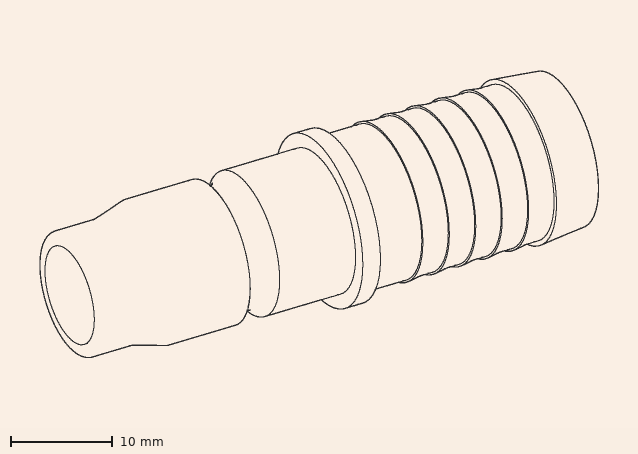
import cadquery as cq

total_length = 55.0
nose_length = 5.0
cone_length = 3.7
groove_center = 17.8
groove_width = 3.3
collar_start = 28.0
collar_width = 2.0
barb_length = 5.0
rib_count = 5
rib_length = 1.5
rib_pitch = 2 * rib_length

bore_radius = 5.05
nose_radius = 6.5
plug_radius = 7.51
groove_depth = 1.1
collar_radius = 18.0 / 2
hose_radius = 8.05
rib_radius = 8.25
barb_radius = 8.5
nose_fillet = 0.5

cone_end = nose_length + cone_length
groove_start = groove_center - groove_width / 2
groove_end = groove_center + groove_width / 2
collar_end = collar_start + collar_width
barb_start = total_length - barb_length
first_rib_start = barb_start - rib_count * rib_pitch


def plug_end(outline):
    """Nose, cone and plug barrel with its round locking groove, up to the collar."""
    return (
        outline.lineTo(nose_radius - nose_fillet, 0)
        .radiusArc((nose_radius, nose_fillet), -nose_fillet)
        .lineTo(nose_radius, nose_length)
        .lineTo(plug_radius, cone_end)
        .lineTo(plug_radius, groove_start)
        .threePointArc((plug_radius - groove_depth, groove_center), (plug_radius, groove_end))
        .lineTo(plug_radius, collar_start)
    )


def collar(outline):
    """Stop collar between the plug and the hose tail."""
    return (
        outline.lineTo(collar_radius, collar_start)
        .lineTo(collar_radius, collar_end)
        .lineTo(hose_radius, collar_end)
    )


def hose_tail(outline):
    """Row of sawtooth ribs followed by the large end barb."""
    for index in range(rib_count):
        rib_start = first_rib_start + index * rib_pitch
        outline = (
            outline.lineTo(hose_radius, rib_start)
            .lineTo(rib_radius, rib_start)
            .lineTo(hose_radius, rib_start + rib_length)
        )
    return (
        outline.lineTo(hose_radius, barb_start)
        .lineTo(barb_radius, barb_start)
        .lineTo(hose_radius, total_length)
    )


profile = cq.Workplane("XY").moveTo(bore_radius, 0)
profile = plug_end(profile)
profile = collar(profile)
profile = hose_tail(profile)
profile = profile.lineTo(bore_radius, total_length).close()

result = profile.revolve(360, (0, 0, 0), (0, 1, 0))